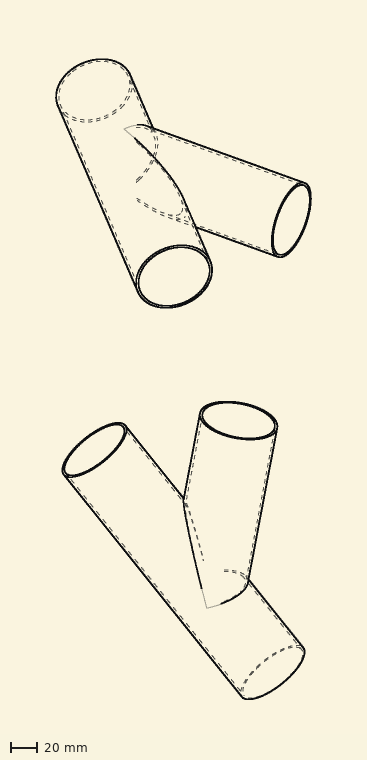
import cadquery as cq
import math

outer_diameter = 60.3
wall = 2.0
run_length = 235.0
branch_angle = 45.0
branch_length = 147.8

outer_radius = outer_diameter / 2
bore_radius = outer_radius - wall
run_start = branch_length - run_length

run_axis = cq.Vector(1, 0, 0)
branch_axis = cq.Vector(
    math.cos(math.radians(branch_angle)),
    math.sin(math.radians(branch_angle)),
    0,
)


def run_cylinder(radius):
    """Solid cylinder along the straight run; the axes cross at the origin."""
    return cq.Workplane(cq.Solid.makeCylinder(radius, run_length, run_axis * run_start, run_axis))


def branch_cylinder(radius):
    """Solid cylinder from the axis crossing out along the branch."""
    return cq.Workplane(cq.Solid.makeCylinder(radius, branch_length, cq.Vector(0, 0, 0), branch_axis))


def tee(radius):
    """Run and branch of one radius joined into a single body."""
    return run_cylinder(radius).union(branch_cylinder(radius))


result = tee(outer_radius).cut(tee(bore_radius))